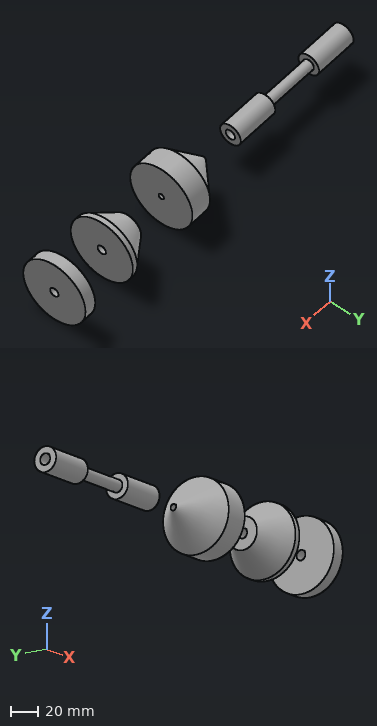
import cadquery as cq


SPINDLE_LENGTH = 130.0
SPINDLE_END_LENGTH = 40.0
SPINDLE_RADIUS = 20.0 / 2
NECK_RADIUS = 10.0 / 2
SPINDLE_HOLE_RADIUS = 9.0 / 2
SPINDLE_HOLE_DEPTH = 30.0
DRILL_POINT_LENGTH = 2.5

BODY_RADIUS = 60.0 / 2

NOSE_START = 161.0
NOSE_CONE_LENGTH = 28.3
NOSE_BASE_LENGTH = 20.3
NOSE_HOLE_RADIUS = 5.0 / 2

COLLAR_START = 248.0
COLLAR_TAPER_LENGTH = 25.0
COLLAR_RIM_LENGTH = 5.0
COLLAR_FRONT_RADIUS = 26.0 / 2
COLLAR_HOLE_RADIUS = 8.0 / 2

TOTAL_LENGTH = 332.5
DISC_THICKNESS = 11.3
DISC_HOLE_RADIUS = 8.0 / 2


def turn(profile):
    """Revolve a closed list of (x, radius) points about the X axis."""
    return cq.Workplane("XY").polyline(profile).close().revolve(360, (0, 0, 0), (1, 0, 0))


def make_spindle():
    neck_start = SPINDLE_END_LENGTH
    neck_end = SPINDLE_LENGTH - SPINDLE_END_LENGTH
    hole_bottom = SPINDLE_HOLE_DEPTH
    point_tip = hole_bottom + DRILL_POINT_LENGTH
    return turn([
        (point_tip, 0),
        (hole_bottom, SPINDLE_HOLE_RADIUS),
        (0, SPINDLE_HOLE_RADIUS),
        (0, SPINDLE_RADIUS),
        (neck_start, SPINDLE_RADIUS),
        (neck_start, NECK_RADIUS),
        (neck_end, NECK_RADIUS),
        (neck_end, SPINDLE_RADIUS),
        (SPINDLE_LENGTH, SPINDLE_RADIUS),
        (SPINDLE_LENGTH, SPINDLE_HOLE_RADIUS),
        (SPINDLE_LENGTH - hole_bottom, SPINDLE_HOLE_RADIUS),
        (SPINDLE_LENGTH - point_tip, 0),
    ])


def make_tapered_body(start, taper_length, base_length, front_radius, hole_radius):
    """Make a truncated cone widening into a cylinder, with a bore right through."""
    base_start = start + taper_length
    end = base_start + base_length
    profile = [
        (start, front_radius),
        (base_start, BODY_RADIUS),
        (end, BODY_RADIUS),
        (end, hole_radius),
    ]
    if hole_radius < front_radius:
        profile.append((start, hole_radius))
    return turn(profile)


def make_nose():
    return make_tapered_body(
        NOSE_START, NOSE_CONE_LENGTH, NOSE_BASE_LENGTH, NOSE_HOLE_RADIUS, NOSE_HOLE_RADIUS
    )


def make_collar():
    return make_tapered_body(
        COLLAR_START, COLLAR_TAPER_LENGTH, COLLAR_RIM_LENGTH, COLLAR_FRONT_RADIUS, COLLAR_HOLE_RADIUS
    )


def make_disc():
    start = TOTAL_LENGTH - DISC_THICKNESS
    return turn([
        (start, DISC_HOLE_RADIUS),
        (start, BODY_RADIUS),
        (TOTAL_LENGTH, BODY_RADIUS),
        (TOTAL_LENGTH, DISC_HOLE_RADIUS),
    ])


spindle = make_spindle()
nose = make_nose()
collar = make_collar()
disc = make_disc()

result = cq.Compound.makeCompound([spindle.val(), nose.val(), collar.val(), disc.val()])